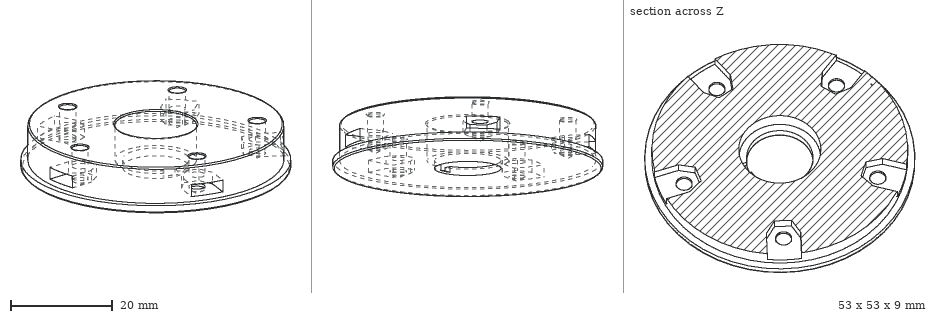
import cadquery as cq
import math

flange_radius = 26.5
body_radius = 25.1
total_height = 9.0
flange_height = 1.6
edge_chamfer = 0.3

bore_radius = 8.0
bore_chamfer = 0.25
shelf_hole_radius = 6.5
shelf_height = 1.6
groove_width = 2.5
groove_inner_height = 0.4
groove_outer_height = 0.95

screw_count = 5
screw_circle_radius = 20.0
screw_radius = 1.6
screw_chamfer = 0.2
screw_end_height = 2.1
screw_tip_angle = 118.0
nut_half_corners = 3.35
nut_pocket_floor = 2.65
nut_pocket_height = 2.45


def revolve_profile(points):
    """Revolve (radius, height) points about the Z axis."""
    return cq.Workplane("XZ").polyline(points).close().revolve(360, (0, 0), (0, 1))


def disc():
    return revolve_profile([
        (0, 0),
        (flange_radius - edge_chamfer, 0),
        (flange_radius, edge_chamfer),
        (flange_radius, flange_height),
        (body_radius, flange_height),
        (body_radius, total_height - edge_chamfer),
        (body_radius - edge_chamfer, total_height),
        (0, total_height),
    ])


def centre_bore():
    return revolve_profile([
        (0, 0),
        (shelf_hole_radius, 0),
        (shelf_hole_radius, shelf_height),
        (bore_radius, shelf_height),
        (bore_radius, total_height - bore_chamfer),
        (bore_radius + bore_chamfer, total_height),
        (0, total_height),
    ])


def shelf_groove():
    """Slot across the shelf along +X, with a conical floor that rises toward the bore wall."""
    slot = cq.Workplane("XY").box(bore_radius, groove_width, shelf_height, centered=(False, True, False))
    space_above_floor = revolve_profile([
        (0, groove_inner_height),
        (shelf_hole_radius, groove_inner_height),
        (bore_radius, groove_outer_height),
        (bore_radius, shelf_height),
        (0, shelf_height),
    ])
    return slot.intersect(space_above_floor)


def screw_hole():
    """Blind drilled hole with a conical end and a chamfered mouth."""
    tip_depth = screw_radius / math.tan(math.radians(screw_tip_angle / 2))
    hole = revolve_profile([
        (0, screw_end_height - tip_depth),
        (screw_radius, screw_end_height),
        (screw_radius, total_height - screw_chamfer),
        (screw_radius + screw_chamfer, total_height),
        (0, total_height),
    ])
    return hole.translate((screw_circle_radius, 0, 0))


def nut_pocket():
    """Half-hexagon seat around the screw axis, continued straight out through the rim."""
    half_flats = nut_half_corners * math.cos(math.radians(30))
    inner_end = screw_circle_radius - half_flats
    return (
        cq.Workplane("XY", origin=(0, 0, nut_pocket_floor))
        .polyline([
            (flange_radius, -nut_half_corners),
            (screw_circle_radius, -nut_half_corners),
            (inner_end, -nut_half_corners / 2),
            (inner_end, nut_half_corners / 2),
            (screw_circle_radius, nut_half_corners),
            (flange_radius, nut_half_corners),
        ])
        .close()
        .extrude(nut_pocket_height)
    )


result = disc().cut(centre_bore()).cut(shelf_groove())

screw_cutter = screw_hole().union(nut_pocket())
for index in range(screw_count):
    angle = index * 360 / screw_count
    result = result.cut(screw_cutter.rotate((0, 0, 0), (0, 0, 1), angle))